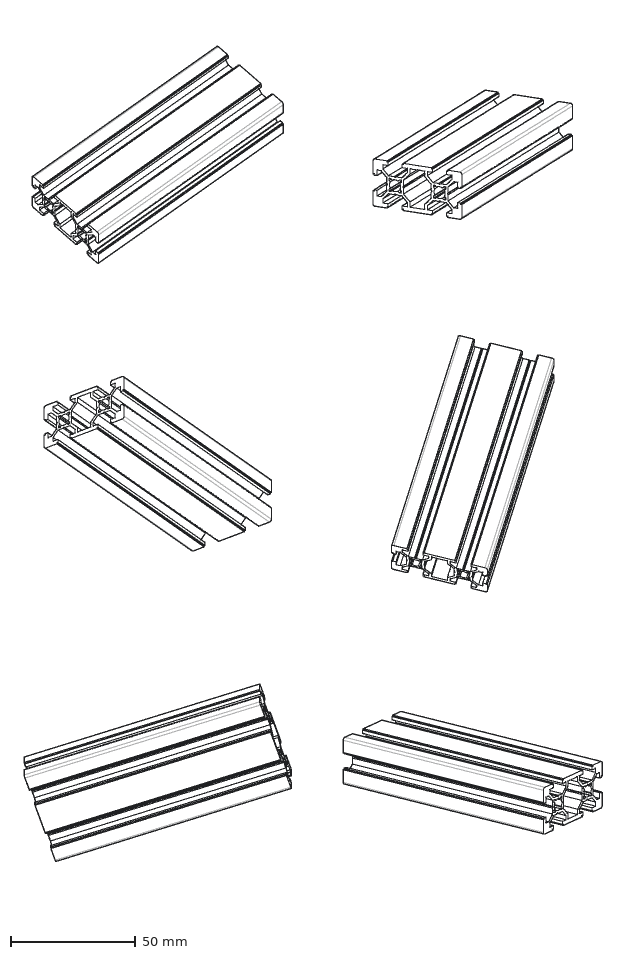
import cadquery as cq

module = 20.0
width = 2 * module
length = 100.0
height = module
half_module = module / 2
corner_radius = 1.0

core_half = 3.8
spoke_offset = 0.85
slot_half = 3.1
slot_inner_half = 5.5
lip_inner = 8.1
step_width = 0.5
step_depth = 0.5
groove_half = 0.4
groove_depth = 0.3

web_thickness = 1.2

bore_radius = 2.5
relief_half = 2.7
relief_offset = 0.8

core_centres = (-half_module, half_module)


def prism(points):
    """Extrude an X-Z outline over the full length, centred on Y."""
    return cq.Workplane("XZ").polyline(points).close().extrude(length / 2, both=True)


def t_slot():
    """Slot opening upwards from a core centred on the Y axis."""
    step_floor = half_module - step_depth
    right_side = [
        (groove_half, core_half),
        (core_half - spoke_offset, core_half),
        (slot_inner_half, slot_inner_half + spoke_offset),
        (slot_inner_half, lip_inner),
        (slot_half, lip_inner),
        (slot_half, step_floor),
        (slot_half + step_width, step_floor),
        (slot_half + step_width, half_module),
    ]
    left_side = [(-x, z) for x, z in reversed(right_side)]
    groove_bottom = (0, core_half - groove_depth)
    return prism([groove_bottom] + right_side + left_side)


def central_chamber():
    """Octagonal chamber closed by the two cores, their spokes and the outer walls."""
    core_face = half_module - core_half
    web_face = half_module - slot_inner_half - web_thickness
    upper_right = [
        (core_face + groove_depth, 0),
        (core_face, groove_half),
        (core_face, core_half - spoke_offset),
        (web_face, half_module - web_face - spoke_offset),
        (web_face, lip_inner),
    ]
    upper_left = [(-x, z) for x, z in reversed(upper_right)]
    lower_left = [(-x, -z) for x, z in upper_right[1:]]
    lower_right = [(x, -z) for x, z in reversed(upper_right[1:])]
    return prism(upper_right + upper_left + lower_left + lower_right)


def core_bore():
    """Round bore with a relief along both diagonals, centred on the Y axis."""
    bore = cq.Workplane("XZ").circle(bore_radius).extrude(length / 2, both=True)
    relief_shoulder = relief_half - relief_offset
    for side in (-1, 1):
        relief = prism([
            (-side * relief_half, -relief_half),
            (-side * relief_shoulder, -relief_half),
            (side * relief_half, relief_shoulder),
            (side * relief_half, relief_half),
            (side * relief_shoulder, relief_half),
            (-side * relief_half, -relief_shoulder),
        ])
        bore = bore.union(relief)
    return bore


def turned_slot(angle, core_x):
    """T-slot turned about the Y axis and moved onto the core at core_x."""
    return t_slot().rotate((0, 0, 0), (0, 1, 0), angle).translate((core_x, 0, 0))


extrusion = cq.Workplane("XY").box(width, length, height).edges("|Y").fillet(corner_radius)
extrusion = extrusion.cut(central_chamber())

for core_x in core_centres:
    outward_angle = 90 if core_x > 0 else -90
    for angle in (0, 180, outward_angle):
        extrusion = extrusion.cut(turned_slot(angle, core_x))
    extrusion = extrusion.cut(core_bore().translate((core_x, 0, 0)))

result = extrusion